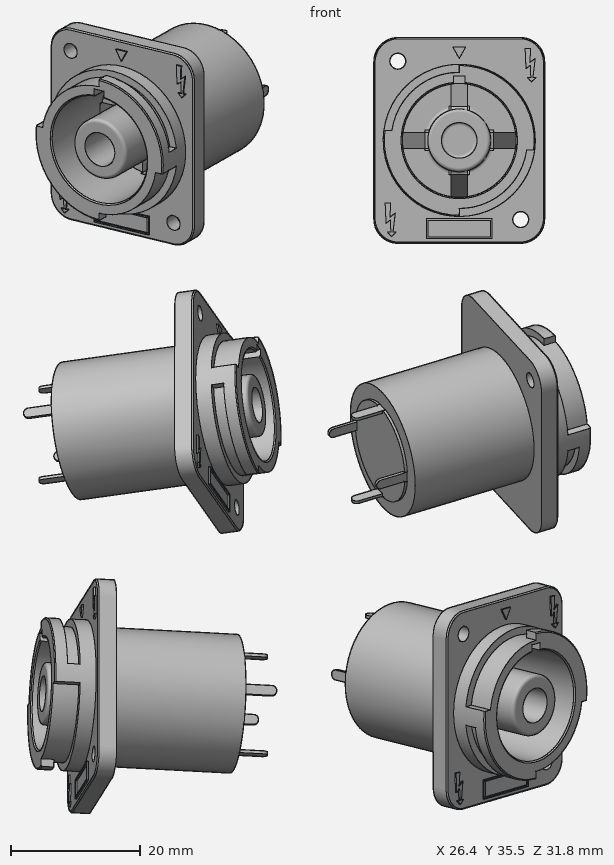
import cadquery as cq
import math


flange_width = 26.4
flange_height = 31.8
flange_thickness = 2.95
flange_corner_radius = 3.77
flange_edge_chamfer = 0.2
screw_hole_diameter = 2.4
screw_hole_x = 9.5
screw_hole_z = 12.23

total_length = 35.55
collar_length = 6.5
housing_diameter = 21.5
housing_length = 20.75
boss_diameter = 16.4
boss_height = 0.45

tab_width = 1.6
tab_thickness = 0.5
tab_outer_radius = 8.07
tab_notch_width = 1.78

collar_diameter = 23.5
collar_edge_chamfer = 0.18
track_diameter = 21.05
track_depth = 4.0
lip_thickness = 2.03
stop_height = 1.5

bore_diameter = 17.55
bore_chamfer = 0.2
bore_depth = 14.22
key_width = 1.78
key_radius = 9.95
post_diameter = 9.7
post_recess = 0.25
post_tip_fillet = 0.55
post_base_fillet = 0.5
post_hole_diameter = 5.5
post_hole_depth = 12.45
post_hole_fillet = 0.45

pocket_width = 2.5
pocket_floor_angle = 75.0
pocket_inner_radius = 5.25
relief_span = 3.15
relief_diameter = 11.0
relief_depth = 0.7

mark_height = 0.25
triangle_half_width = 1.0
triangle_top_z = 14.45
triangle_tip_z = 12.65
frame_width = 10.1
frame_height = 3.05
frame_line = 0.25
frame_z = -13.6
bolt_outline = [
    (10.15, 14.22), (11.02, 14.22), (10.9, 12.05), (11.73, 12.65), (11.38, 9.7), (11.85, 9.7),
    (11.15, 9.03), (10.52, 9.7), (11.05, 9.7), (11.0, 11.6), (10.3, 11.1),
]
bolt_shift_x = -21.6
bolt_shift_z = -23.9

front_y = -collar_length
housing_end_y = flange_thickness + housing_length
rear_y = front_y + total_length
floor_y = front_y + bore_depth


def plane_at(y):
    """Sketch plane facing +Y, with local x along -X and local y along +Z."""
    return cq.Workplane(cq.Plane(origin=(0, y, 0), xDir=(-1, 0, 0), normal=(0, 1, 0)))


def cylinder(diameter, y_start, y_end):
    return plane_at(y_start).circle(diameter / 2).extrude(y_end - y_start)


def box(x_range, y_range, z_range):
    size = [high - low for low, high in (x_range, y_range, z_range)]
    corner = (x_range[0], y_range[0], z_range[0])
    return cq.Workplane("XY").box(*size, centered=False).translate(corner)


def four_around(shape):
    """Copies of a shape at the four quarter turns about the connector axis, as one object."""
    copies = shape
    for quarter in (1, 2, 3):
        copies = copies.union(shape.rotate((0, 0, 0), (0, 1, 0), 90 * quarter))
    return copies


def flange():
    plate = plane_at(0).rect(flange_width, flange_height).extrude(flange_thickness)
    plate = plate.edges("|Y").fillet(flange_corner_radius)
    plate = plate.faces("<Y").edges().chamfer(flange_edge_chamfer)
    for side in (-1, 1):
        hole = cylinder(screw_hole_diameter, 0, flange_thickness)
        plate = plate.cut(hole.translate((side * screw_hole_x, 0, -side * screw_hole_z)))
    return plate


def collar():
    """Round collar with two bayonet tracks, each open to the front over one quadrant."""
    ring = cylinder(collar_diameter, front_y, 0).faces("<Y").edges().chamfer(collar_edge_chamfer)
    track_end_y = front_y + track_depth
    sleeve = cylinder(2 * collar_diameter, front_y, track_end_y)
    sleeve = sleeve.cut(cylinder(track_diameter, front_y, track_end_y))
    reach = collar_diameter
    behind_lip = box((-reach, reach), (front_y + lip_thickness, track_end_y), (stop_height, reach))
    entry = box((-reach, 0), (front_y, track_end_y), (stop_height, reach))
    track = sleeve.intersect(behind_lip.union(entry))
    opposite_track = track.rotate((0, 0, 0), (0, 1, 0), 180)
    return ring.cut(track).cut(opposite_track)


def socket_cavity():
    bore = cylinder(bore_diameter, front_y, floor_y)
    mouth_radius = bore_diameter / 2 + bore_chamfer
    mouth = plane_at(front_y).circle(mouth_radius).extrude(bore_chamfer, taper=45)
    keyway = box((-key_width / 2, key_width / 2), (front_y, floor_y), (0, key_radius))
    return bore.union(mouth).union(keyway)


def post():
    tip_y = front_y + post_recess
    body = cylinder(post_diameter, tip_y, floor_y).faces("<Y").edges().fillet(post_tip_fillet)
    hole = cylinder(post_hole_diameter, tip_y, tip_y + post_hole_depth)
    hole = hole.faces(">Y").edges().fillet(post_hole_fillet)
    radius = post_diameter / 2
    base = (
        cq.Workplane("XY")
        .moveTo(radius, floor_y - post_base_fillet)
        .radiusArc((radius + post_base_fillet, floor_y), post_base_fillet)
        .lineTo(radius, floor_y)
        .close()
        .revolve(360, (0, 0), (0, 1))
    )
    return body.union(base).cut(hole)


def sloped_pocket():
    """Pocket that deepens from the post's base fillet towards the bore wall."""
    wall_radius = bore_diameter / 2
    slope = math.tan(math.radians(pocket_floor_angle))
    top_y = floor_y - post_base_fillet
    top_radius = pocket_inner_radius - post_base_fillet / slope
    bottom_y = floor_y + (wall_radius - pocket_inner_radius) * slope
    outline = [(top_y, top_radius), (top_y, wall_radius), (bottom_y, wall_radius)]
    profile = cq.Workplane("YZ").polyline(outline).close()
    return profile.extrude(pocket_width / 2, both=True).cut(cylinder(post_diameter, top_y, bottom_y))


def relief_pockets():
    """Pair of narrow pockets through the base fillet into the floor, one on each side of a sloped pocket."""
    y_range = (floor_y - post_base_fillet, floor_y + relief_depth)
    ring = cylinder(relief_diameter, *y_range).cut(cylinder(post_diameter, *y_range))
    right = box((pocket_width / 2, relief_span / 2), y_range, (0, relief_diameter))
    left = right.mirror("YZ")
    return ring.intersect(right.union(left))


def rear_boss():
    boss = cylinder(boss_diameter, housing_end_y, housing_end_y + boss_height)
    half_width = tab_notch_width / 2
    y_range = (housing_end_y, housing_end_y + boss_height)
    notch = box((-half_width, half_width), y_range, (tab_outer_radius, boss_diameter))
    return boss.cut(four_around(notch))


def solder_tab():
    half_width = tab_width / 2
    shoulder_y = rear_y - half_width
    return (
        cq.Workplane("XY", origin=(0, 0, tab_outer_radius - tab_thickness))
        .moveTo(-half_width, housing_end_y)
        .lineTo(-half_width, shoulder_y)
        .threePointArc((0, rear_y), (half_width, shoulder_y))
        .lineTo(half_width, housing_end_y)
        .close()
        .extrude(tab_thickness)
    )


def raised_marks():
    """Pointer triangle, two lightning bolts and an empty nameplate frame on the flange face."""
    face = cq.Workplane("XZ")
    triangle_outline = [
        (-triangle_half_width, triangle_top_z),
        (triangle_half_width, triangle_top_z),
        (0, triangle_tip_z),
    ]
    triangle = face.polyline(triangle_outline).close().extrude(mark_height)
    bolt = face.polyline(bolt_outline).close().extrude(mark_height)
    opposite_bolt = bolt.translate((bolt_shift_x, 0, bolt_shift_z))
    frame = (
        face.center(0, frame_z)
        .rect(frame_width, frame_height)
        .rect(frame_width - 2 * frame_line, frame_height - 2 * frame_line)
        .extrude(mark_height)
    )
    return triangle.union(bolt).union(opposite_bolt).union(frame)


housing = cylinder(housing_diameter, flange_thickness, housing_end_y)
result = flange().union(housing).union(collar()).union(raised_marks())
result = result.cut(socket_cavity()).union(post())
result = result.cut(four_around(sloped_pocket())).cut(four_around(relief_pockets()))
result = result.union(rear_boss()).union(four_around(solder_tab()))